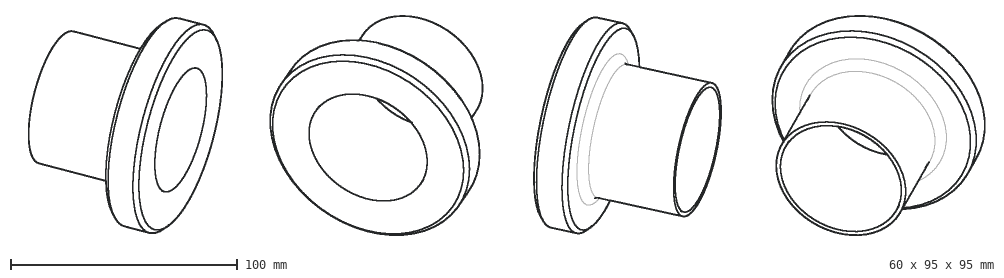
import cadquery as cq

flange_diameter = 95.0
total_length = 60.0
flange_thickness = 16.0
tube_diameter = 60.3
bore_diameter = 56.3
rim_chamfer = 2.0
neck_fillet = 4.0

flange_start = total_length - flange_thickness


def cylinder_along_x(start, length, diameter):
    """Solid cylinder on the X axis, growing toward +X from start."""
    return cq.Workplane("YZ", origin=(start, 0, 0)).circle(diameter / 2).extrude(length)


flange = cylinder_along_x(flange_start, flange_thickness, flange_diameter)
flange = flange.edges().chamfer(rim_chamfer)

tube = cylinder_along_x(0, flange_start, tube_diameter)
neck_corner = cq.selectors.RadiusNthSelector(0)
body = flange.union(tube)
body = body.faces("<X[1]").edges(neck_corner).fillet(neck_fillet)

result = body.cut(cylinder_along_x(0, total_length, bore_diameter))